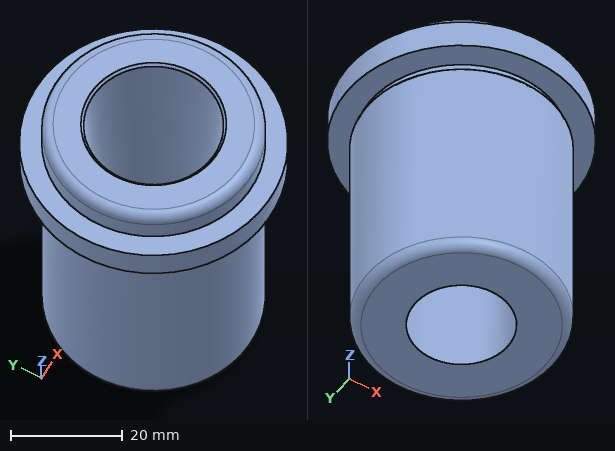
import cadquery as cq

height = 59.0
flange_top = 53.0
flange_thickness = 6.0
flange_bottom = flange_top - flange_thickness

body_radius = 20.0
flange_radius = 24.0
end_round = 2.0

groove_radius = 19.2
groove_width = 2.0
groove_bottom = flange_bottom - groove_width
groove_chamfer = body_radius - groove_radius

mouth_radius = 12.5
mouth_chamfer = 0.5
taper_end_depth = 36.0
bore_radius = 9.85


def revolve_about_z(profile):
    """Full turn of a closed radius-height profile about the Z axis."""
    return profile.revolve(360, (0, 0, 0), (0, 1, 0))


def make_body():
    """Plain cylinder with rounded ends."""
    body = cq.Workplane("XY").circle(body_radius).extrude(height)
    return body.faces("<Z or >Z").edges().fillet(end_round)


def make_flange():
    """Round collar near the top of the body."""
    flange = cq.Workplane("XY").workplane(offset=flange_bottom)
    return flange.circle(flange_radius).extrude(flange_thickness)


def make_groove():
    """Ring of material removed from the body directly below the flange."""
    profile = (
        cq.Workplane("XZ")
        .moveTo(groove_radius, flange_bottom)
        .lineTo(flange_radius, flange_bottom)
        .lineTo(flange_radius, groove_bottom)
        .lineTo(body_radius, groove_bottom)
        .lineTo(groove_radius, groove_bottom + groove_chamfer)
        .close()
    )
    return revolve_about_z(profile)


def make_bore():
    """Through bore narrowing from the chamfered mouth to a straight lower part."""
    profile = (
        cq.Workplane("XZ")
        .lineTo(bore_radius, 0)
        .lineTo(bore_radius, height - taper_end_depth)
        .lineTo(mouth_radius, height - mouth_chamfer)
        .lineTo(mouth_radius + mouth_chamfer, height)
        .lineTo(0, height)
        .close()
    )
    return revolve_about_z(profile)


result = make_body().union(make_flange()).cut(make_groove()).cut(make_bore())